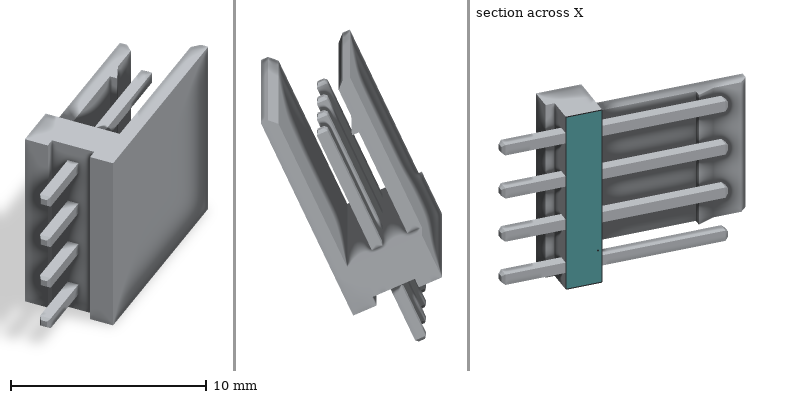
import cadquery as cq

width = 5.0
height = 10.17
total_length = 14.4
base_start = 3.0
base_depth = 2.5
base_end = base_start + base_depth

groove_width = 2.39
groove_depth = 0.5

wall_thickness = 0.8
wall_tip_chamfer = 0.4
latch_wall_inset = 1.27

latch_reach = 0.4
latch_hook_y = 11.49
latch_ramp_end_y = 12.45

pin_count = 4
pin_pitch = height / pin_count
pin_size = 0.6
pin_length = 12.5
pin_tip_length = 0.17
pin_tip_size = 0.35


def extrude_along_z(points, length):
    """Extrude an XY outline symmetrically about Z = 0."""
    return cq.Workplane("XY").polyline(points).close().extrude(length / 2, both=True)


def make_base():
    base = cq.Workplane("XY").box(width, base_depth, height).translate((0, base_start + base_depth / 2, 0))
    groove = cq.Workplane("XY").box(groove_width, groove_depth, height)
    return base.cut(groove.translate((0, base_start + groove_depth / 2, 0)))


def wall_outline(latch_points):
    """Outline of the -X wall, with optional latch points on its inner face."""
    outer_x = -width / 2
    inner_x = outer_x + wall_thickness
    return [
        (outer_x, base_end),
        (inner_x, base_end),
        *latch_points,
        (inner_x, total_length - wall_tip_chamfer),
        (inner_x - wall_tip_chamfer, total_length),
        (outer_x, total_length),
    ]


def make_latch_wall():
    inner_x = -width / 2 + wall_thickness
    latch_points = [
        (inner_x, latch_hook_y),
        (inner_x + latch_reach, latch_hook_y),
        (inner_x, latch_ramp_end_y),
    ]
    return extrude_along_z(wall_outline(latch_points), height - 2 * latch_wall_inset)


def make_plain_wall():
    return extrude_along_z(wall_outline([]), height).mirror("YZ")


def make_pin(z):
    """Square pin along Y with a tapered tip at each end."""
    shaft_length = pin_length - 2 * pin_tip_length
    shaft = cq.Workplane("XY").box(pin_size, shaft_length, pin_size)
    pin = shaft.translate((0, pin_length / 2, 0))
    for face in ("<Y", ">Y"):
        tip = (
            shaft.faces(face).workplane(centerOption="CenterOfMass")
            .rect(pin_size, pin_size)
            .workplane(offset=pin_tip_length)
            .rect(pin_tip_size, pin_tip_size)
            .loft(combine=False)
        )
        pin = pin.union(tip.translate((0, pin_length / 2, 0)))
    return pin.translate((0, 0, z))


result = make_base().union(make_latch_wall()).union(make_plain_wall())
for index in range(pin_count):
    result = result.union(make_pin((index - (pin_count - 1) / 2) * pin_pitch))